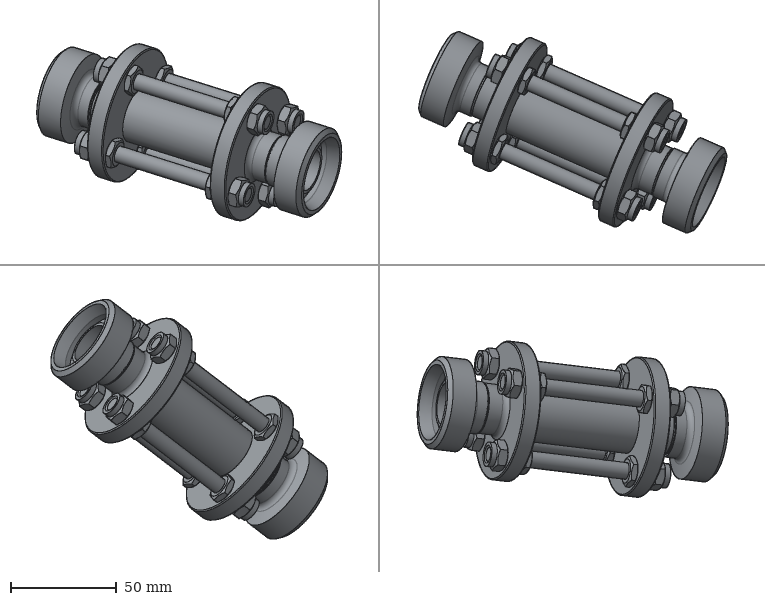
import cadquery as cq
import math

length = 142.0
mid_x = length / 2
bore_d = 20.0

fitting_d = 44.0
fitting_chamfer = 2.0
back_angle = 10.0
neck_d = 25.0
neck_fillet = 3.0
neck_start_x = 18.0
neck_end_x = 23.3

seat_mouth_d = 36.0
seat_d = 32.8
seat_cone_depth = 6.1
seat_floor_depth = 9.0
spigot_d = 23.0

weld_gap_d = 23.0
pipe_d = 24.0
pipe_start_x = 24.1
pipe_end_x = 31.0
pipe_foot_d = 28.0

flange_d = 66.0
flange_start_x = 34.0
flange_thickness = 8.4
flange_end_x = flange_start_x + flange_thickness
flange_chamfer = 0.5
tube_d = 26.0

stud_count = 4
stud_circle_r = 25.1
first_stud_angle = 12.9
stud_d = 8.0
nut_flats = 13.0
nut_corners = nut_flats / math.cos(math.radians(30))
nut_crown_d = 11.6
nut_chamfer_angle = 30.0
collar_d = nut_crown_d
countersink_d = 8.5
countersink_floor_d = 6.7
countersink_depth = 0.5
collar_start_x = 25.7
lock_nut_start_x = 28.4
jam_nut_thickness = 3.8
lock_nut_turn = -8.9
jam_nut_turn = -4.2


def cylinder(diameter, start_x, end_x):
    """Solid cylinder on the X axis."""
    return cq.Workplane("YZ", origin=(start_x, 0, 0)).circle(diameter / 2).extrude(end_x - start_x)


def end_body():
    """Fitting, neck, weld gap, pipe stub and flange of the -X end."""
    tilt = math.radians(back_angle)
    fitting_r = fitting_d / 2
    neck_r = neck_d / 2
    fillet_center_r = neck_r + neck_fillet
    fillet_top_x = neck_start_x - neck_fillet * math.cos(tilt)
    fillet_top_r = fillet_center_r - neck_fillet * math.sin(tilt)
    rim_end_x = fillet_top_x - (fitting_r - fillet_top_r) * math.tan(tilt)
    mid_angle = (math.pi + tilt + 3 * math.pi / 2) / 2
    fillet_mid = (
        neck_start_x + neck_fillet * math.cos(mid_angle),
        fillet_center_r + neck_fillet * math.sin(mid_angle),
    )
    profile = (
        cq.Workplane("XY")
        .moveTo(0, 0)
        .lineTo(0, fitting_r - fitting_chamfer)
        .lineTo(fitting_chamfer, fitting_r)
        .lineTo(rim_end_x, fitting_r)
        .lineTo(fillet_top_x, fillet_top_r)
        .threePointArc(fillet_mid, (neck_start_x, neck_r))
        .lineTo(neck_end_x, neck_r)
        .lineTo(neck_end_x, weld_gap_d / 2)
        .lineTo(pipe_start_x, weld_gap_d / 2)
        .lineTo(pipe_start_x, pipe_d / 2)
        .lineTo(pipe_end_x, pipe_d / 2)
        .tangentArcPoint((flange_start_x, pipe_foot_d / 2), relative=False)
        .lineTo(flange_start_x, flange_d / 2 - flange_chamfer)
        .lineTo(flange_start_x + flange_chamfer, flange_d / 2)
        .lineTo(flange_end_x - flange_chamfer, flange_d / 2)
        .lineTo(flange_end_x, flange_d / 2 - flange_chamfer)
        .lineTo(flange_end_x, 0)
        .close()
    )
    return profile.revolve(360, (0, 0, 0), (1, 0, 0))


def seat_recess():
    """Conical seat with a flat floor, leaving the pipe end standing as a spigot."""
    profile = (
        cq.Workplane("XY")
        .moveTo(0, 0)
        .lineTo(0, seat_mouth_d / 2)
        .lineTo(seat_cone_depth, seat_d / 2)
        .lineTo(seat_floor_depth, seat_d / 2)
        .lineTo(seat_floor_depth, spigot_d / 2)
        .lineTo(seat_cone_depth, spigot_d / 2)
        .lineTo(seat_cone_depth, 0)
        .close()
    )
    return profile.revolve(360, (0, 0, 0), (1, 0, 0))


def hex_nut(start_x, end_x, turn):
    """Hexagon with both ends chamfered to a round crown."""
    rise = (nut_corners - nut_crown_d) / 2 * math.tan(math.radians(nut_chamfer_angle))
    hexagon = cq.Workplane("YZ", origin=(start_x, 0, 0)).polygon(6, nut_corners).extrude(end_x - start_x)
    envelope = (
        cq.Workplane("XY")
        .moveTo(start_x, 0)
        .lineTo(start_x, nut_crown_d / 2)
        .lineTo(start_x + rise, nut_corners / 2)
        .lineTo(end_x - rise, nut_corners / 2)
        .lineTo(end_x, nut_crown_d / 2)
        .lineTo(end_x, 0)
        .close()
        .revolve(360, (0, 0, 0), (1, 0, 0))
    )
    return hexagon.intersect(envelope).rotate((0, 0, 0), (1, 0, 0), turn)


def nut_set():
    """Lock nut with its collar, and jam nut, of one stud end on the X axis."""
    lock_nut = hex_nut(lock_nut_start_x, flange_start_x, lock_nut_turn)
    collar = cylinder(collar_d, collar_start_x, lock_nut_start_x)
    jam_nut = hex_nut(flange_end_x, flange_end_x + jam_nut_thickness, jam_nut_turn)
    return [lock_nut.union(collar), jam_nut]


def stud():
    """Full-length stud on the X axis."""
    return cylinder(stud_d, collar_start_x, length - collar_start_x)


def countersink():
    """Conical recess in the -X collar face and stud end, on the X axis."""
    mouth = cq.Workplane("YZ", origin=(collar_start_x, 0, 0)).circle(countersink_d / 2)
    return mouth.workplane(offset=countersink_depth).circle(countersink_floor_d / 2).loft()


def at_stud(body, index):
    """Move a body from the X axis to one of the stud positions."""
    angle = first_stud_angle + index * 360 / stud_count
    return body.translate((0, 0, stud_circle_r)).rotate((0, 0, 0), (1, 0, 0), angle)


end = end_body().cut(seat_recess())
for nut in nut_set():
    for index in range(stud_count):
        end = end.union(at_stud(nut, index))

result = end.union(end.mirror("YZ", (mid_x, 0, 0)))
result = result.union(cylinder(tube_d, flange_end_x, length - flange_end_x))
for index in range(stud_count):
    result = result.union(at_stud(stud(), index))
    recess = at_stud(countersink(), index)
    result = result.cut(recess).cut(recess.mirror("YZ", (mid_x, 0, 0)))
result = result.cut(cylinder(bore_d, 0, length))